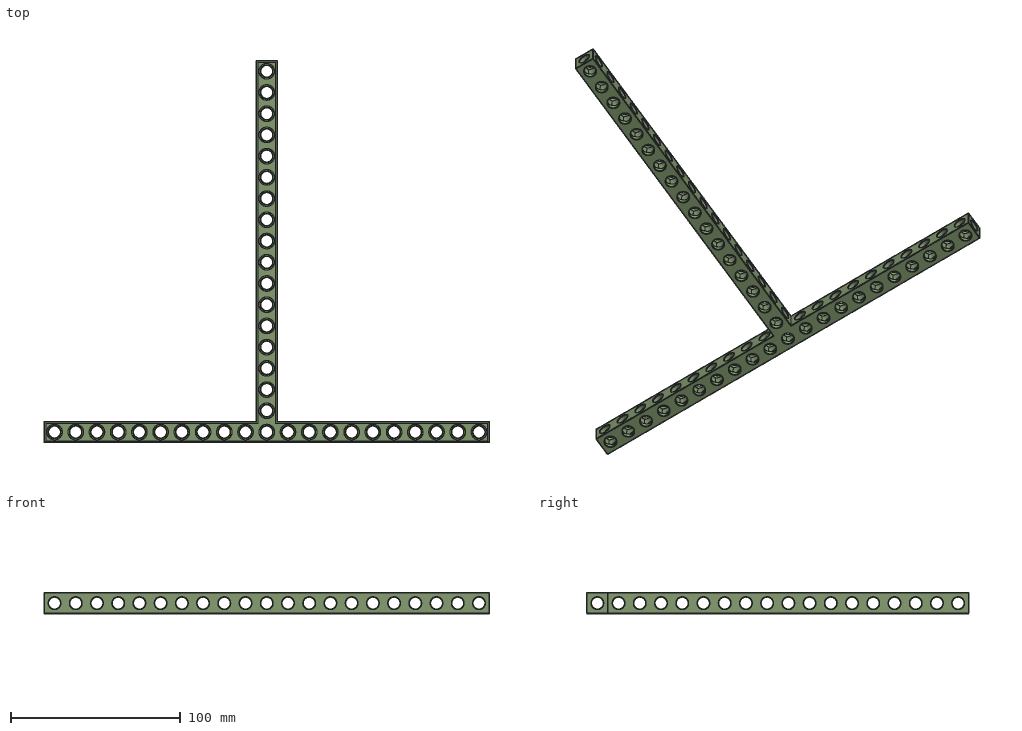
import cadquery as cq

PITCH = 12.5
CROSS_CELLS = 21
STEM_CELLS = 17
EDGE_CHAMFER = 0.3
RIM_WIDTH = 1.1
RECESS_DEPTH = 0.2
HOLE_DIAMETER = 7.0
HOLE_CHAMFER = 0.3

half = PITCH / 2
cross_length = CROSS_CELLS * PITCH
cross_end = cross_length / 2
stem_end = half + STEM_CELLS * PITCH
recess_floor = half - RECESS_DEPTH
collar_diameter = HOLE_DIAMETER + 2 * RIM_WIDTH

cells_per_side = CROSS_CELLS // 2
cross_stations = [i * PITCH for i in range(-cells_per_side, cells_per_side + 1)]
stem_stations = [i * PITCH for i in range(1, STEM_CELLS + 1)]


def tee(inset, z_bottom, z_top):
    """T-shaped prism whose outline lies inside the part's outline by the inset."""
    bar_half = half - inset
    end_x = cross_end - inset
    end_y = stem_end - inset
    outline = [
        (-end_x, -bar_half),
        (end_x, -bar_half),
        (end_x, bar_half),
        (bar_half, bar_half),
        (bar_half, end_y),
        (-bar_half, end_y),
        (-bar_half, bar_half),
        (-end_x, bar_half),
    ]
    base = cq.Workplane("XY").workplane(offset=z_bottom)
    return base.polyline(outline).close().extrude(z_top - z_bottom)


def make_bars():
    """Cross bar and stem with chamfered outer edges; the two inner corners stay sharp."""
    bars = tee(0, -half, half)
    outer_edges = bars.edges("#Z or (|Z and (<X or >X or >Y))")
    return outer_edges.chamfer(EDGE_CHAMFER)


def make_recess():
    """Cutter for the T-shaped top recess, sparing a round collar at every vertical hole."""
    centres = [(x, 0) for x in cross_stations] + [(0, y) for y in stem_stations]
    collars = (
        cq.Workplane("XY")
        .workplane(offset=recess_floor)
        .pushPoints(centres)
        .circle(collar_diameter / 2)
        .extrude(RECESS_DEPTH)
    )
    return tee(RIM_WIDTH, recess_floor, half).cut(collars)


def bore(start, direction, length):
    """Straight round bore from a start point."""
    return cq.Solid.makeCylinder(HOLE_DIAMETER / 2, length, cq.Vector(*start), cq.Vector(*direction))


def mouth(point, direction):
    """Conical lead-in at a hole mouth, narrowing along the given direction."""
    radius = HOLE_DIAMETER / 2
    return cq.Solid.makeCone(
        radius + HOLE_CHAMFER, radius, HOLE_CHAMFER, cq.Vector(*point), cq.Vector(*direction)
    )


def vertical_hole(x, y):
    """Through hole along Z with a lead-in at both ends."""
    return [
        bore((x, y, -half), (0, 0, 1), PITCH),
        mouth((x, y, half), (0, 0, -1)),
        mouth((x, y, -half), (0, 0, 1)),
    ]


def hole_along_x(y, x_start, x_end):
    """Through hole along X with a lead-in at both ends."""
    return [
        bore((x_start, y, 0), (1, 0, 0), x_end - x_start),
        mouth((x_start, y, 0), (1, 0, 0)),
        mouth((x_end, y, 0), (-1, 0, 0)),
    ]


def hole_along_y(x, y_start, y_end):
    """Through hole along Y with a lead-in at both ends."""
    return [
        bore((x, y_start, 0), (0, 1, 0), y_end - y_start),
        mouth((x, y_start, 0), (0, 1, 0)),
        mouth((x, y_end, 0), (0, -1, 0)),
    ]


def make_holes():
    """Cutters for all vertical, crosswise and lengthwise holes."""
    cutters = []
    for x in cross_stations:
        cutters += vertical_hole(x, 0)
        if x != 0:
            cutters += hole_along_y(x, -half, half)
    for y in stem_stations:
        cutters += vertical_hole(0, y)
        cutters += hole_along_x(y, -half, half)
    cutters += hole_along_x(0, -cross_end, cross_end)
    cutters += hole_along_y(0, -half, stem_end)
    return cutters


recessed_bars = make_bars().cut(make_recess())
result = cq.Workplane(recessed_bars.val().cut(*make_holes()))